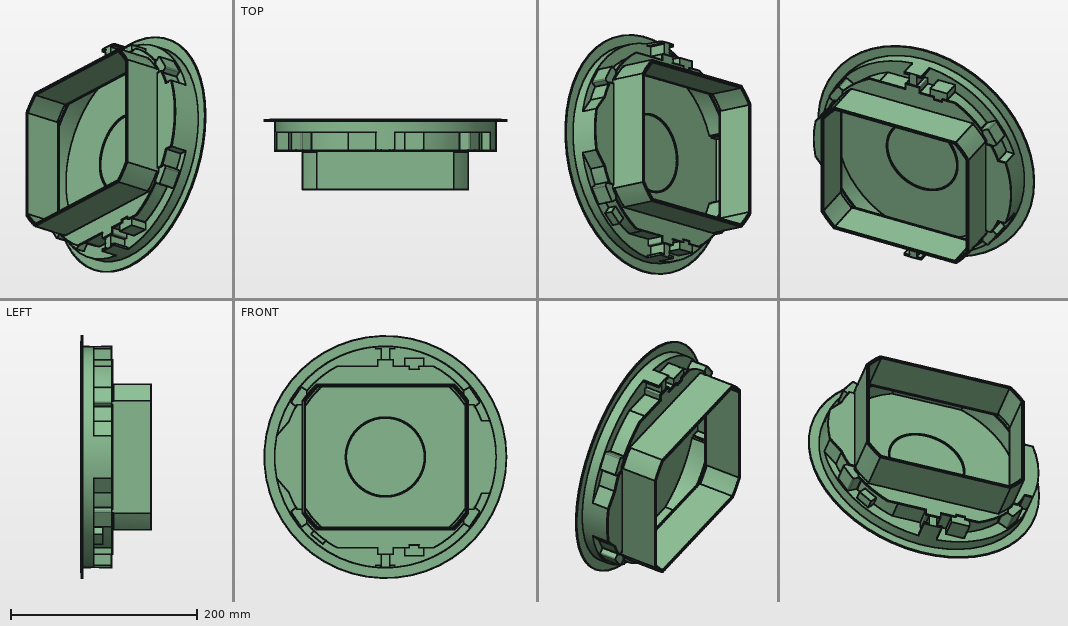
import cadquery as cq
import math

overall_depth = 75.7

flange_radius = 130.0
back_pad_radius = 123.5
back_pad_depth = 0.8
flange_front = 2.3
drum_radius = 118.8
shelf_front = 14.0
wall_front = 33.0
wall_radius = 105.3
side_radius = 110.2
wall_half_height = 97.5
cavity_radius = 102.0
cavity_half_height = 94.0
cavity_floor = 11.5
groove_radius = 43.0
groove_width = 1.0
groove_depth = 0.8
slant_inner = (-102.7, 39.0)
slant_outer = (-120.0, 18.7)
right_side_half_height = 38.7
side_pocket_half_height = 36.0
side_pocket_x = 106.5
pocket_entry_half_height = 37.5
pocket_entry_x = 97.8

key_half_width = 8.3
key_top = 104.5
key_fillet = 0.8
post_half_width = 4.5
cap_half_width = 10.1
cap_inner_radius = 116.5
connector_x = (20.8, 41.3)
connector_top = 106.0
tongue_x = (25.7, 36.0)
tongue_bottom = 94.5

tab_angle = 50.2
tab_width = 16.6
tab_outer_radius = 114.7
tab_front = 23.7
tab_root = 2.0

plate_front = 34.5
collar_half_x = 89.0
collar_half_z = 78.3
collar_corner_radius = 107.5
collar_wall = 2.9
opening_lip = 0.3
rim_chamfer = 0.5
corner_slit = 0.8

clip_outer_low = (101.5, 58.5)
clip_outer_high = (90.2, 75.1)
clip_step_low = (95.7, 54.0)
clip_inner_radius = 104.5
clip_inner_low_z = 55.0
clip_inner_high_z = 68.5
clip_fillet = 1.3
notch_low_z = 56.0
notch_inner_x = 84.2
notch_high_z = 71.8


def at_depth(depth):
    """Sketch plane at the given depth; extruding goes toward the front."""
    return cq.Workplane("XZ", origin=(0, -depth, 0))


def disc(radius, back, front):
    return at_depth(back).circle(radius).extrude(front - back)


def block(x_min, x_max, z_min, z_max, back, front):
    outline = at_depth(back).center((x_min + x_max) / 2, (z_min + z_max) / 2)
    return outline.rect(x_max - x_min, z_max - z_min).extrude(front - back)


def prism(points, back, front):
    return at_depth(back).polyline(points).close().extrude(front - back)


def with_mirror(solid):
    """The solid together with its mirror image below Z = 0."""
    return solid.union(solid.mirror("XY"))


def four_corners(solid):
    """Copies of a solid from the +X, +Z quadrant in all four quadrants."""
    corners = []
    for side in (solid, solid.mirror("YZ")):
        corners += [side, side.mirror("XY")]
    return corners


def coordinate_on_circle(radius, other_coordinate):
    """Positive coordinate of a point on a centred circle, from its other coordinate."""
    return math.sqrt(radius**2 - other_coordinate**2)


def arc_middle(radius, start, end):
    angle = (math.atan2(start[1], start[0]) + math.atan2(end[1], end[0])) / 2
    return (radius * math.cos(angle), radius * math.sin(angle))


def make_sides(back, front):
    """Left and right lobes, which reach out to the drum radius."""
    left_x, left_z = slant_inner
    tip_x, tip_z = slant_outer
    left = [(0, left_z), (left_x, left_z), (tip_x, tip_z), (tip_x, -tip_z), (left_x, -left_z), (0, -left_z)]
    right = block(0, drum_radius, -right_side_half_height, right_side_half_height, back, front)
    return prism(left, back, front).union(right).intersect(disc(drum_radius, back, front))


def make_keys(back, front):
    keys = block(-key_half_width, key_half_width, -key_top, key_top, back, front)
    return keys.edges("|Y").fillet(key_fillet)


def flat_topped(solid, back, front):
    """The solid cut flat at the top and bottom of the wall."""
    return solid.intersect(
        block(-drum_radius, drum_radius, -wall_half_height, wall_half_height, back, front)
    )


def make_wall(back, front):
    """Housing wall, set back behind the plate edge above and below the clips."""
    side_band = disc(side_radius, back, front).intersect(
        block(-drum_radius, drum_radius, -notch_low_z, notch_low_z, back, front)
    )
    wall = flat_topped(disc(wall_radius, back, front).union(side_band), back, front)
    return wall.union(make_sides(back, front)).union(make_keys(back, front))


def make_clip():
    """Clip in the +X, +Z quadrant."""
    inner_low = (coordinate_on_circle(clip_inner_radius, clip_inner_low_z), clip_inner_low_z)
    inner_high = (coordinate_on_circle(clip_inner_radius, clip_inner_high_z), clip_inner_high_z)
    clip = (
        at_depth(shelf_front)
        .moveTo(*clip_outer_high)
        .lineTo(*clip_outer_low)
        .lineTo(*clip_step_low)
        .lineTo(*inner_low)
        .threePointArc(arc_middle(clip_inner_radius, inner_low, inner_high), inner_high)
        .close()
        .extrude(wall_front - shelf_front)
    )
    outer_edges = cq.selectors.BoxSelector(
        (clip_outer_high[0] - clip_fillet, -wall_front, clip_outer_low[1] - clip_fillet),
        (clip_outer_low[0] + clip_fillet, -shelf_front, clip_outer_high[1] + clip_fillet),
    )
    return clip.edges("|Y").edges(outer_edges).fillet(clip_fillet)


def make_notch():
    """Plate notch in the +X, +Z quadrant, open outward and closed by the collar corner."""
    arc_start = (collar_half_x, coordinate_on_circle(collar_corner_radius, collar_half_x))
    arc_end = (notch_inner_x, coordinate_on_circle(collar_corner_radius, notch_inner_x))
    return (
        at_depth(wall_front)
        .moveTo(*clip_outer_high)
        .lineTo(*clip_outer_low)
        .lineTo(*clip_step_low)
        .lineTo(clip_step_low[0], notch_low_z)
        .lineTo(collar_half_x, notch_low_z)
        .lineTo(*arc_start)
        .threePointArc(arc_middle(collar_corner_radius, arc_start, arc_end), arc_end)
        .lineTo(notch_inner_x, notch_high_z)
        .close()
        .extrude(plate_front - wall_front)
    )


def make_posts():
    """T-shaped posts standing between the keys and the drum radius."""
    stem = block(-post_half_width, post_half_width, key_top, drum_radius, shelf_front, wall_front)
    cap = block(-cap_half_width, cap_half_width, key_top, drum_radius, shelf_front, wall_front)
    cap = cap.cut(disc(cap_inner_radius, shelf_front, wall_front))
    return with_mirror(stem.union(cap).intersect(disc(drum_radius, shelf_front, wall_front)))


def make_tab():
    inner_radius = wall_radius - tab_root
    half_width = tab_width / 2
    tab = block(inner_radius, tab_outer_radius, -half_width, half_width, shelf_front, tab_front)
    return tab.rotate((0, 0, 0), (0, 1, 0), 180 - tab_angle)


def make_cavity():
    cavity = disc(cavity_radius, cavity_floor, wall_front).intersect(
        block(
            -cavity_radius, cavity_radius, -cavity_half_height, cavity_half_height, cavity_floor, wall_front
        )
    )
    side_pocket = block(
        0, side_pocket_x, -side_pocket_half_height, side_pocket_half_height, cavity_floor, wall_front
    )
    pocket_entry = block(
        0, pocket_entry_x, -pocket_entry_half_height, pocket_entry_half_height, cavity_floor, wall_front
    )
    return cavity.union(side_pocket).union(pocket_entry)


def make_housing():
    housing = disc(back_pad_radius, 0, back_pad_depth)
    housing = housing.union(disc(flange_radius, back_pad_depth, flange_front))
    housing = housing.union(disc(drum_radius, flange_front, shelf_front))
    housing = housing.union(make_wall(shelf_front, wall_front))
    housing = housing.union(make_posts())
    connector = block(*connector_x, wall_half_height, connector_top, shelf_front, wall_front)
    housing = housing.union(with_mirror(connector))
    housing = housing.union(make_tab())
    housing = housing.cut(make_cavity())
    groove = (
        at_depth(cavity_floor - groove_depth)
        .circle(groove_radius)
        .circle(groove_radius - groove_width)
        .extrude(groove_depth)
    )
    housing = housing.cut(groove)
    for seat in four_corners(make_clip()):
        housing = housing.cut(seat)
    return housing


def collar_profile(inset, corner_radius, back, front):
    """Rectangle inset from the collar outside, with its corners rounded by a centred circle."""
    half_x = collar_half_x - inset
    half_z = collar_half_z - inset
    return block(-half_x, half_x, -half_z, half_z, back, front).intersect(
        disc(corner_radius, back, front)
    )


def make_frame():
    plate = flat_topped(disc(side_radius, wall_front, plate_front), wall_front, plate_front)
    plate = plate.union(make_sides(wall_front, plate_front))
    plate = plate.union(make_keys(wall_front, plate_front))
    tongue = block(*tongue_x, tongue_bottom, connector_top, wall_front, plate_front)
    plate = plate.cut(with_mirror(tongue))
    for notch in four_corners(make_notch()):
        plate = plate.cut(notch)

    opening = collar_profile(collar_wall + opening_lip, cavity_radius, wall_front, plate_front)
    plate = plate.cut(opening)

    collar = collar_profile(0, collar_corner_radius, plate_front, overall_depth)
    inside = collar_profile(collar_wall, collar_corner_radius - collar_wall, plate_front, overall_depth)
    collar = collar.cut(inside)
    flat_half_x = coordinate_on_circle(collar_corner_radius, collar_half_z)
    flat_half_z = coordinate_on_circle(collar_corner_radius, collar_half_x)
    slit = block(
        flat_half_x, collar_half_x, flat_half_z, collar_half_z, plate_front, plate_front + corner_slit
    )
    for corner_gap in four_corners(slit):
        collar = collar.cut(corner_gap)
    return plate.union(collar).faces("<Y").chamfer(rim_chamfer)


housing = make_housing()
frame = make_frame()
clips = four_corners(make_clip())

result = cq.Compound.makeCompound([housing.val(), frame.val(), *[clip.val() for clip in clips]])